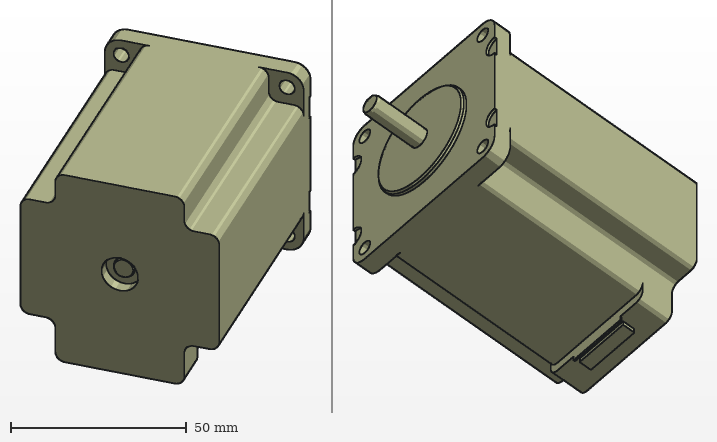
import cadquery as cq


cap_length = 11.3
ear_start = 71.5
flange_front = 77.5
pilot_front = 79.1
shaft_tip = 98.1

body_size = 60.0
half_body = body_size / 2
flange_corner_radius = 5.0
cross_arm_width = 38.9
notch_offset = cross_arm_width / 2
notch_radius = 2.9
tab_bottom = -33.5

hole_spacing = 50.0
hole_diameter = 4.6

pilot_diameter = 36.3
pilot_chamfer = 0.6

scallop_radius = 3.5
scallop_depth = 0.9
scallop_offset = 16.0

shaft_diameter = 6.4
shaft_chamfer_length = 1.0
shaft_chamfer_height = 0.3
flat_length = 15.1
flat_depth = 0.5
bore_diameter = 11.0
bore_depth = 3.9
shaft_rear = 3.1

overall_height = 65.0
connector_bottom = half_body - overall_height
plate_width = 19.8
plate_thickness = 0.6
block_width = 18.4
block_start = 5.2
block_end = 9.5


def box(x_min, x_max, y_min, y_max, z_min, z_max):
    """Axis-aligned box given by its limits."""
    size = (x_max - x_min, y_max - y_min, z_max - z_min)
    return cq.Workplane("XY").box(*size, centered=False).translate((x_min, y_min, z_min))


def cylinder(diameter, y_min, y_max, x=0, z=0):
    """Cylinder parallel to the Y axis."""
    plane = cq.Workplane("XZ", origin=(x, y_min, z))
    return plane.circle(diameter / 2).extrude(y_min - y_max)


def cross_prism(y_min, y_max, bottom):
    """Square bar with rounded notches in its four corners and a chosen lower edge."""
    wide = box(-half_body, half_body, y_min, y_max, -notch_offset, notch_offset)
    tall = box(-notch_offset, notch_offset, y_min, y_max, bottom, half_body)
    return wide.union(tall).edges("|Y").fillet(notch_radius)


def make_flange():
    """Mounting flange with its four holes, side scallops and pilot boss."""
    flange = box(-half_body, half_body, ear_start, flange_front, -half_body, half_body)
    flange = flange.edges("|Y").fillet(flange_corner_radius)
    for x in (-hole_spacing / 2, hole_spacing / 2):
        for z in (-hole_spacing / 2, hole_spacing / 2):
            flange = flange.cut(cylinder(hole_diameter, ear_start, flange_front, x, z))
    for x in (-half_body, half_body):
        for z in (-scallop_offset, scallop_offset):
            scallop = cylinder(2 * scallop_radius, flange_front - scallop_depth, flange_front, x, z)
            flange = flange.cut(scallop)
    pilot = cylinder(pilot_diameter, flange_front, pilot_front).faces(">Y").chamfer(pilot_chamfer)
    return flange.union(pilot)


def make_connector():
    """Thin plate and block that stand below the rear cap's tab."""
    half_plate = plate_width / 2
    half_block = block_width / 2
    plate_start = cap_length - plate_thickness
    plate = box(-half_plate, half_plate, plate_start, cap_length, connector_bottom, tab_bottom)
    block = box(-half_block, half_block, block_start, block_end, connector_bottom, tab_bottom)
    return plate, block


def make_housing():
    """Rear cap, stator, flange and connector as one solid, bored for the shaft."""
    cap = cross_prism(0, cap_length, tab_bottom)
    stator = cross_prism(cap_length, ear_start, -half_body)
    housing = cap.union(stator).union(make_flange())
    for connector_part in make_connector():
        housing = housing.union(connector_part)
    housing = housing.cut(cylinder(bore_diameter, 0, bore_depth))
    return housing.cut(cylinder(shaft_diameter, bore_depth, pilot_front))


def make_shaft():
    """Shaft with chamfered ends and a drive flat at the front."""
    shaft = cylinder(shaft_diameter, shaft_rear, shaft_tip)
    shaft = shaft.faces("<Y or >Y").chamfer(shaft_chamfer_length, shaft_chamfer_height)
    radius = shaft_diameter / 2
    flat_cut = box(-radius, radius, shaft_tip - flat_length, shaft_tip, radius - flat_depth, radius)
    return shaft.cut(flat_cut)


housing = make_housing()
shaft = make_shaft()

result = cq.Compound.makeCompound([housing.val(), shaft.val()])